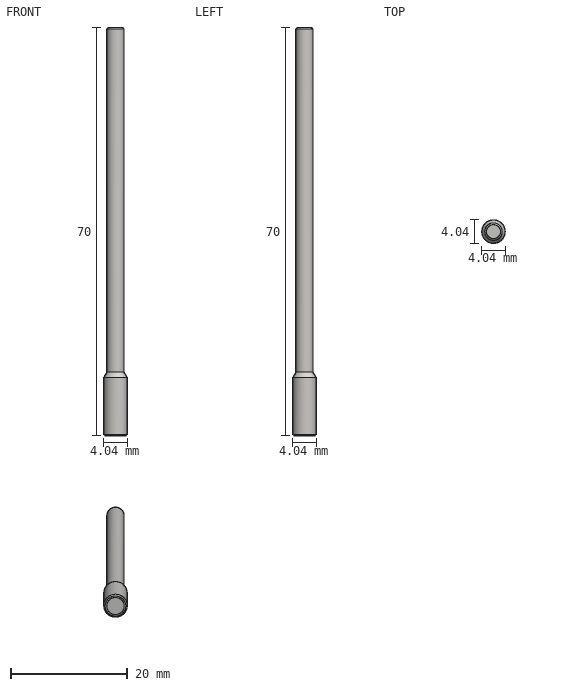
import cadquery as cq
import math

rod_diameter = 3.0
rod_length = 70.0
rod_tip_chamfer = 0.3

sleeve_diameter = 4.04
sleeve_straight_length = 10.0
sleeve_bottom_chamfer = 0.25
taper_angle = 30.0

rod_radius = rod_diameter / 2
sleeve_radius = sleeve_diameter / 2
taper_height = (sleeve_radius - rod_radius) / math.tan(math.radians(taper_angle))
sleeve_length = sleeve_straight_length + taper_height


def make_rod():
    """Straight rod standing on Z = 0, chamfered at its free upper end."""
    rod = cq.Workplane("XY").circle(rod_radius).extrude(rod_length)
    return rod.faces(">Z").chamfer(rod_tip_chamfer)


def make_sleeve():
    """Sleeve around the foot of the rod, chamfered below and tapered to the rod above."""
    half_profile = (
        cq.Workplane("XZ")
        .moveTo(rod_radius, 0)
        .lineTo(sleeve_radius - sleeve_bottom_chamfer, 0)
        .lineTo(sleeve_radius, sleeve_bottom_chamfer)
        .lineTo(sleeve_radius, sleeve_straight_length)
        .lineTo(rod_radius, sleeve_length)
        .close()
    )
    return half_profile.revolve(360, (0, 0, 0), (0, 1, 0))


rod = make_rod()
sleeve = make_sleeve()

result = cq.Compound.makeCompound([rod.val(), sleeve.val()])